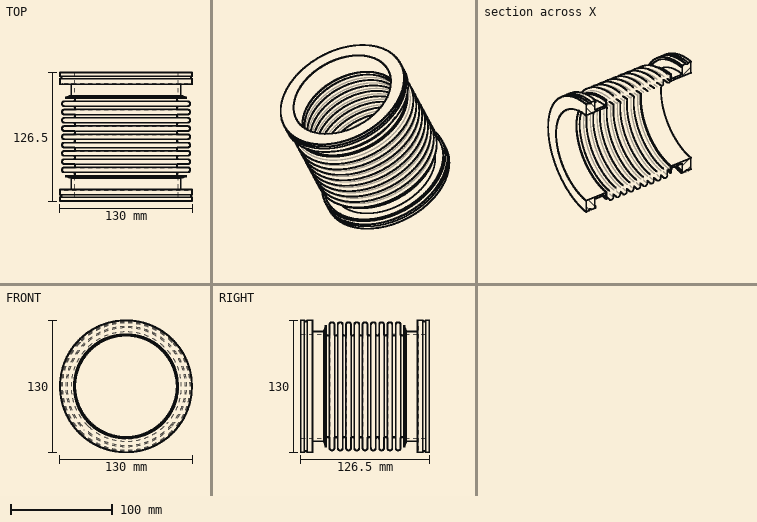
import cadquery as cq

overall_length = 126.5
half_length = overall_length / 2

flange_radius = 65.0
flange_thickness = 11.75
edge_chamfer = 0.3
groove_offset = 3.75
groove_width = 2.7
groove_radius = groove_width / 2
face_recess_radius = 62.6
face_recess_depth = 1.0

wall = 0.25
convolution_count = 9
convolution_pitch = 8.12
convolution_width = 5.05
crest_radius = 63.1
root_radius = 50.0
valley_width = convolution_pitch - convolution_width
crest_arc_center = crest_radius - convolution_width / 2
root_arc_center = root_radius + valley_width / 2
last_valley = convolution_count * convolution_pitch / 2

bore_radius = 51.0
tube_radius = 54.0
cone_start = 22.7
collar_length = 24.2
cone_radius = 58.0

end_ring_radius = 59.3
bellows_half_length = half_length - collar_length


def revolve_about_y(profile):
    """Full turn of an (X, Y) profile around the Y axis."""
    return profile.close().revolve(360, (0, 0, 0), (0, 1, 0))


def make_collar():
    """Flanged collar at the +Y end."""

    def at(radius, offset):
        return radius, half_length - offset

    recess_floor = flange_thickness - face_recess_depth
    profile = (
        cq.Workplane("XY")
        .moveTo(*at(bore_radius, edge_chamfer))
        .lineTo(*at(bore_radius + edge_chamfer, 0))
        .lineTo(*at(flange_radius - edge_chamfer, 0))
        .lineTo(*at(flange_radius, edge_chamfer))
        .lineTo(*at(flange_radius, groove_offset))
        .threePointArc(
            at(flange_radius - groove_radius, groove_offset + groove_radius),
            at(flange_radius, groove_offset + groove_width),
        )
        .lineTo(*at(flange_radius, flange_thickness - edge_chamfer))
        .lineTo(*at(flange_radius - edge_chamfer, flange_thickness))
        .lineTo(*at(face_recess_radius, flange_thickness))
        .lineTo(*at(face_recess_radius, recess_floor))
        .lineTo(*at(tube_radius, recess_floor))
        .lineTo(*at(tube_radius, cone_start))
        .lineTo(*at(cone_radius, collar_length))
        .lineTo(*at(bore_radius, collar_length))
    )
    return revolve_about_y(profile)


def add_wave(profile, direction, valley_half, crest_half):
    """Add one surface of the sheet, from end ring to end ring, running along Y in the given direction (+1 or -1).

    valley_half and crest_half are the radii of the round valleys and crests of that surface.
    """
    for index in range(convolution_count + 1):
        valley = direction * (index * convolution_pitch - last_valley)
        profile = profile.lineTo(root_arc_center, valley - direction * valley_half)
        profile = profile.threePointArc(
            (root_arc_center - valley_half, valley),
            (root_arc_center, valley + direction * valley_half),
        )
        if index < convolution_count:
            crest = valley + direction * convolution_pitch / 2
            profile = profile.lineTo(crest_arc_center, crest - direction * crest_half)
            profile = profile.threePointArc(
                (crest_arc_center + crest_half, crest),
                (crest_arc_center, crest + direction * crest_half),
            )
    return profile


def make_bellows():
    """Sheet with round crests and valleys between two flat end rings, one against each collar."""
    outer_valley = valley_width / 2
    outer_crest = convolution_width / 2
    ring_face = last_valley + outer_valley

    profile = cq.Workplane("XY").moveTo(bore_radius, -bellows_half_length)
    profile = profile.lineTo(end_ring_radius, -bellows_half_length)
    profile = profile.lineTo(end_ring_radius, -ring_face)
    profile = add_wave(profile, 1, outer_valley, outer_crest)
    profile = profile.lineTo(end_ring_radius, ring_face)
    profile = profile.lineTo(end_ring_radius, bellows_half_length)
    profile = profile.lineTo(bore_radius, bellows_half_length)
    profile = profile.lineTo(bore_radius, ring_face + wall)
    profile = add_wave(profile, -1, outer_valley + wall, outer_crest - wall)
    profile = profile.lineTo(bore_radius, -ring_face - wall)
    return revolve_about_y(profile)


back_collar = make_collar()
front_collar = back_collar.mirror("XZ")
bellows = make_bellows()

result = cq.Compound.makeCompound([front_collar.val(), back_collar.val(), bellows.val()])